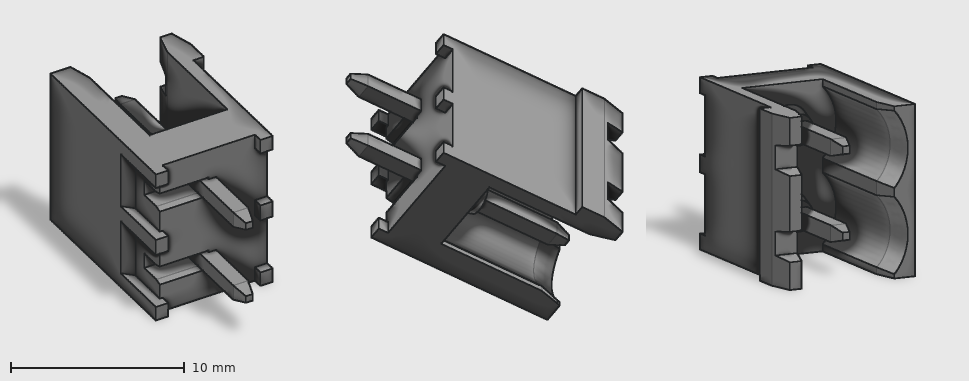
import cadquery as cq


POLE_COUNT = 2
PITCH = 5.08
HEIGHT = POLE_COUNT * PITCH
POLE_HEIGHTS = [PITCH * (i + 0.5) for i in range(POLE_COUNT)]

BASE_BACK = 11.37
FOOT_END = 12.0
MOUTH_FLOOR = 8.33
FRONT_INNER = 1.74
BACK_INNER = 6.93
BACK_OUTER = 7.8
LATCH_OUTER = 8.5
LATCH_END = 3.0
LEAD_LENGTH = 1.5
LEAD_DEPTH = 0.4
FOOT_DEPTH = 0.82

END_RIB = 0.94
MID_RIB = 1.05
BAY_HEIGHT = (HEIGHT - 2 * END_RIB - (POLE_COUNT - 1) * MID_RIB) / POLE_COUNT
BAY_BOTTOMS = [END_RIB + i * (BAY_HEIGHT + MID_RIB) for i in range(POLE_COUNT)]
RECESS_START = 7.98
RECESS_DEPTH = 0.63

PIN_Y = 3.89
PIN_SIZE = 1.0
PIN_TIP_SIZE = 0.46
PIN_TAPER = 1.0
PIN_START = 1.13
PIN_END = 16.0

COLLAR_START = 7.1
COLLAR_TIP_RADIUS = 0.93
COLLAR_ROOT_RADIUS = 1.25

SLOT_START = 9.6
SLOT_FLARE_LENGTH = 0.42
SLOT_FLARE = 0.13

NOTCH_DEPTH = 1.2
NOTCH_MOUTH = 1.8
NOTCH_FLOOR = 1.4

SCALLOP_RADIUS = 3.02
SCALLOP_MOUTH_RADIUS = SCALLOP_RADIUS + LEAD_DEPTH


def box(x0, x1, y0, y1, z0, z1):
    """Box given by its limits along each axis."""
    return cq.Workplane("XY").box(x1 - x0, y1 - y0, z1 - z0, centered=False).translate((x0, y0, z0))


def across_x(x, z):
    """Workplane facing +X at the given X, centred on the pin axis at height z."""
    return cq.Workplane("YZ", origin=(x, PIN_Y, z))


def make_housing():
    profile = [
        (0, 0),
        (FOOT_END, 0),
        (FOOT_END, FOOT_DEPTH),
        (BASE_BACK, FOOT_DEPTH),
        (BASE_BACK, BACK_OUTER - FOOT_DEPTH),
        (FOOT_END, BACK_OUTER - FOOT_DEPTH),
        (FOOT_END, BACK_OUTER),
        (LATCH_END, BACK_OUTER),
        (LATCH_END, LATCH_OUTER),
        (LEAD_LENGTH, LATCH_OUTER),
        (0, LATCH_OUTER - LEAD_DEPTH),
        (0, BACK_INNER + LEAD_DEPTH),
        (LEAD_LENGTH, BACK_INNER),
        (MOUTH_FLOOR, BACK_INNER),
        (MOUTH_FLOOR, FRONT_INNER),
        (LEAD_LENGTH, FRONT_INNER),
        (0, FRONT_INNER - LEAD_DEPTH),
    ]
    return cq.Workplane("XY").polyline(profile).close().extrude(HEIGHT)


def make_bay(bottom):
    """Gap between two ribs: a shallow recess in the front face, and the gap between the feet."""
    recess_profile = [
        (RECESS_START, 0),
        (FOOT_END, 0),
        (FOOT_END, RECESS_DEPTH),
        (RECESS_START + RECESS_DEPTH, RECESS_DEPTH),
    ]
    recess = cq.Workplane("XY").workplane(offset=bottom).polyline(recess_profile).close().extrude(BAY_HEIGHT)
    foot_gap = box(BASE_BACK, FOOT_END, 0, BACK_OUTER, bottom, bottom + BAY_HEIGHT)
    return recess.union(foot_gap)


def make_slot(z):
    """Slot as tall as the pin, flaring in height where it meets the rear face."""
    half = PIN_SIZE / 2
    flare_start = BASE_BACK - SLOT_FLARE_LENGTH
    profile = [
        (SLOT_START, z - half),
        (flare_start, z - half),
        (BASE_BACK, z - half - SLOT_FLARE),
        (BASE_BACK, z + half + SLOT_FLARE),
        (flare_start, z + half),
        (SLOT_START, z + half),
    ]
    return cq.Workplane("XZ").polyline(profile).close().extrude(-PIN_Y)


def make_notch(z):
    """Notch through the latch lip, narrowing in height towards its floor."""
    profile = [
        (0, z - NOTCH_MOUTH / 2),
        (NOTCH_DEPTH, z - NOTCH_FLOOR / 2),
        (NOTCH_DEPTH, z + NOTCH_FLOOR / 2),
        (0, z + NOTCH_MOUTH / 2),
    ]
    notch = cq.Workplane("XZ").polyline(profile).close().extrude(BACK_INNER - LATCH_OUTER)
    return notch.translate((0, BACK_INNER, 0))


def make_scallop(z):
    """Plug clearance: a cone along the lead-in, then a cylinder to the floor; front wall only."""
    cone = across_x(0, z).circle(SCALLOP_MOUTH_RADIUS)
    cone = cone.workplane(offset=LEAD_LENGTH).circle(SCALLOP_RADIUS).loft()
    bore = across_x(LEAD_LENGTH, z).circle(SCALLOP_RADIUS).extrude(MOUTH_FLOOR - LEAD_LENGTH)
    front_half = box(0, MOUTH_FLOOR, 0, PIN_Y, 0, HEIGHT)
    return cone.union(bore).intersect(front_half)


def make_collar(z):
    collar = across_x(COLLAR_START, z).circle(COLLAR_TIP_RADIUS)
    return collar.workplane(offset=MOUTH_FLOOR - COLLAR_START).circle(COLLAR_ROOT_RADIUS).loft()


def make_pin(z):
    """Square pin with a tapered tip at each end."""
    shank_start = PIN_START + PIN_TAPER
    shank_end = PIN_END - PIN_TAPER
    pin = across_x(shank_start, z).rect(PIN_SIZE, PIN_SIZE).extrude(shank_end - shank_start)
    for root, taper in ((shank_start, -PIN_TAPER), (shank_end, PIN_TAPER)):
        tip = across_x(root, z).rect(PIN_SIZE, PIN_SIZE)
        tip = tip.workplane(offset=taper).rect(PIN_TIP_SIZE, PIN_TIP_SIZE).loft()
        pin = pin.union(tip)
    return pin


result = make_housing()

for bay_bottom in BAY_BOTTOMS:
    result = result.cut(make_bay(bay_bottom))

for pole_z in POLE_HEIGHTS:
    result = result.cut(make_slot(pole_z))
    result = result.cut(make_notch(pole_z))
    result = result.cut(make_scallop(pole_z))
    result = result.union(make_collar(pole_z))
    result = result.union(make_pin(pole_z))